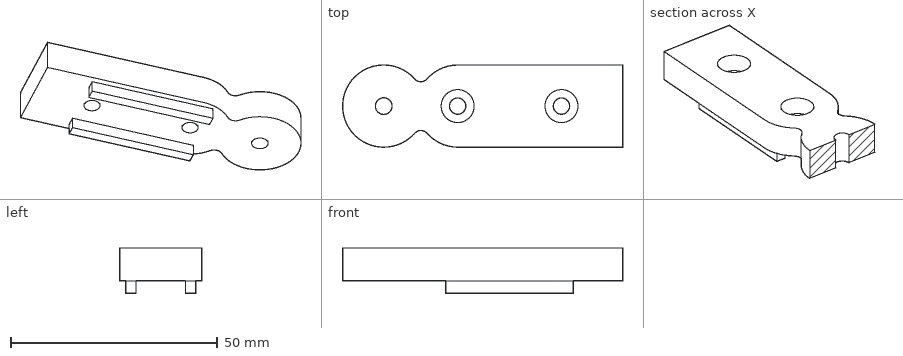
import cadquery as cq
import math

PLATE_LENGTH = 68.0
PLATE_WIDTH = 20.0
PLATE_THICKNESS = 8.0
NECK_FILLET_RADIUS = 2.0
SHOULDER_X = 18.0

PIVOT_HOLE_DIAMETER = 4.0
SCREW_HOLE_DIAMETER = 3.9
COUNTERBORE_DIAMETER = 8.0
COUNTERBORE_DEPTH = 4.4
FIRST_SCREW_X = 17.925
SCREW_SPACING = 25.175

RAIL_WIDTH = 2.5
RAIL_HEIGHT = 3.0
RAIL_OUTER_Y = 8.5
RAIL_START_X = 15.0
RAIL_LENGTH = 31.0

END_RADIUS = PLATE_WIDTH / 2
ARM_END_X = PLATE_LENGTH - END_RADIUS
SCREW_XS = (FIRST_SCREW_X, FIRST_SCREW_X + SCREW_SPACING)


def make_plate():
    """Head and rounded arm end, blended by concave arcs tangent to both."""
    neck_x = SHOULDER_X / 2
    fillet_center_y = math.sqrt((END_RADIUS + NECK_FILLET_RADIUS) ** 2 - neck_x**2)
    waist_y = fillet_center_y - NECK_FILLET_RADIUS
    tangent_ratio = END_RADIUS / (END_RADIUS + NECK_FILLET_RADIUS)
    head_tangent_x = neck_x * tangent_ratio
    arm_tangent_x = SHOULDER_X - head_tangent_x
    tangent_y = fillet_center_y * tangent_ratio

    shoulder_angle = (math.pi / 2 + math.atan2(fillet_center_y, -neck_x)) / 2
    shoulder_mid_x = SHOULDER_X + END_RADIUS * math.cos(shoulder_angle)
    shoulder_mid_y = END_RADIUS * math.sin(shoulder_angle)

    return (
        cq.Workplane("XY")
        .moveTo(head_tangent_x, tangent_y)
        .threePointArc((-END_RADIUS, 0), (head_tangent_x, -tangent_y))
        .threePointArc((neck_x, -waist_y), (arm_tangent_x, -tangent_y))
        .threePointArc((shoulder_mid_x, -shoulder_mid_y), (SHOULDER_X, -END_RADIUS))
        .lineTo(ARM_END_X, -END_RADIUS)
        .lineTo(ARM_END_X, END_RADIUS)
        .lineTo(SHOULDER_X, END_RADIUS)
        .threePointArc((shoulder_mid_x, shoulder_mid_y), (arm_tangent_x, tangent_y))
        .threePointArc((neck_x, waist_y), (head_tangent_x, tangent_y))
        .close()
        .extrude(PLATE_THICKNESS)
    )


def make_rails():
    """Two straight rails hanging below the plate, mirrored about the X axis."""
    rail_center_x = RAIL_START_X + RAIL_LENGTH / 2
    rail_center_y = RAIL_OUTER_Y - RAIL_WIDTH / 2
    return (
        cq.Workplane("XY")
        .pushPoints([(rail_center_x, -rail_center_y), (rail_center_x, rail_center_y)])
        .rect(RAIL_LENGTH, RAIL_WIDTH)
        .extrude(-RAIL_HEIGHT)
    )


def cut_holes(body):
    """Plain pivot hole in the head and counterbored screw holes in the arm."""
    top = cq.Workplane("XY", origin=(0, 0, PLATE_THICKNESS))
    pivot = top.circle(PIVOT_HOLE_DIAMETER / 2).extrude(-PLATE_THICKNESS)
    screw_points = [(x, 0) for x in SCREW_XS]
    screws = top.pushPoints(screw_points).circle(SCREW_HOLE_DIAMETER / 2).extrude(-PLATE_THICKNESS)
    bores = top.pushPoints(screw_points).circle(COUNTERBORE_DIAMETER / 2).extrude(-COUNTERBORE_DEPTH)
    return body.cut(pivot).cut(screws).cut(bores)


result = cut_holes(make_plate().union(make_rails()))